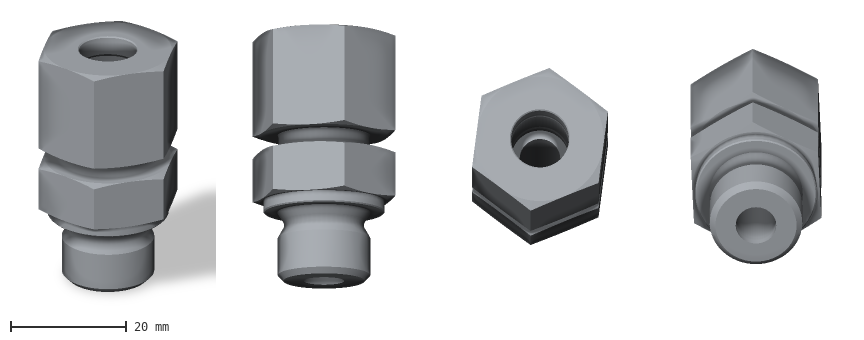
import cadquery as cq
import math


HEX_FLATS = 22.0
HEX_CHAMFER_ANGLE = 15
TUBE_D = 10.0
THREAD_D = 16.0

STUD_CHAMFER = 1.0
STUD_THREAD_TOP = 7.52
UNDERCUT_D = 13.75
UNDERCUT_R = 1.2
UNDERCUT_LOWER_ANGLE = 30
UNDERCUT_UPPER_ANGLE = 33

COLLAR_D = 21.0
COLLAR_EDGE_CHAMFER = 0.2
COLLAR_BOTTOM = 12.0
BODY_HEX_BOTTOM = 13.98
BODY_HEX_TOP = 22.5

NECK_D = 15.7
NECK_FILLET = 1.0
NECK_STRAIGHT = 1.45
BODY_TOP = 33.55

FLOW_BORE_D = 7.0
TUBE_STOP_DEPTH = 7.0
CONE_MOUTH_D = 12.3
CONE_HALF_ANGLE = 12

NUT_BOTTOM = 25.5
NUT_TOP = 43.0
NUT_BORE_BOTTOM = 39.7
NUT_BORE_CHAMFER = 0.2

RING_TOP = 39.15
RING_MOUTH_D = 10.75
RING_MOUTH_DEPTH = 1.08
RING_TIP_DEPTH = 3.85


def tan_deg(angle):
    return math.tan(math.radians(angle))


def revolve(profile):
    """Turn a closed (radius, height) outline around the Z axis."""
    return profile.close().revolve(360, (0, 0, 0), (0, 1, 0))


def turned(points):
    """Turned solid from the straight-sided (radius, height) outline."""
    return revolve(cq.Workplane("XZ").polyline(points))


def chamfered_hexagon(bottom, top):
    """Hexagonal prism with its corners turned to a cone at both ends."""
    flat_r = HEX_FLATS / 2
    corner_r = flat_r / math.cos(math.radians(30))
    drop = (corner_r - flat_r) * tan_deg(HEX_CHAMFER_ANGLE)
    prism = (
        cq.Workplane("XY", origin=(0, 0, bottom))
        .polygon(6, 2 * corner_r)
        .extrude(top - bottom)
        .rotate((0, 0, 0), (0, 0, 1), 30)
    )
    envelope = turned([
        (0, bottom),
        (flat_r, bottom),
        (corner_r, bottom + drop),
        (corner_r, top - drop),
        (flat_r, top),
        (0, top),
    ])
    return prism.intersect(envelope)


def make_stud():
    """Stud thread with its end chamfer and the rounded undercut below the collar."""
    thread_r = THREAD_D / 2
    waist_r = UNDERCUT_D / 2
    lower = math.radians(UNDERCUT_LOWER_ANGLE)
    upper = math.radians(UNDERCUT_UPPER_ANGLE)
    lower_arc_r = waist_r + UNDERCUT_R * (1 - math.cos(lower))
    upper_arc_r = waist_r + UNDERCUT_R * (1 - math.cos(upper))
    lower_arc_z = STUD_THREAD_TOP + (thread_r - lower_arc_r) / math.tan(lower)
    waist_z = lower_arc_z + UNDERCUT_R * math.sin(lower)
    upper_arc_z = waist_z + UNDERCUT_R * math.sin(upper)
    cone_top_r = upper_arc_r + (COLLAR_BOTTOM - upper_arc_z) * math.tan(upper)
    profile = (
        cq.Workplane("XZ")
        .moveTo(0, 0)
        .lineTo(thread_r - STUD_CHAMFER, 0)
        .lineTo(thread_r, STUD_CHAMFER)
        .lineTo(thread_r, STUD_THREAD_TOP)
        .lineTo(lower_arc_r, lower_arc_z)
        .threePointArc((waist_r, waist_z), (upper_arc_r, upper_arc_z))
        .lineTo(cone_top_r, COLLAR_BOTTOM)
        .lineTo(0, COLLAR_BOTTOM)
    )
    return revolve(profile)


def make_collar():
    """Round collar under the hexagon, with a small chamfer on its lower edge."""
    return (
        cq.Workplane("XY", origin=(0, 0, COLLAR_BOTTOM))
        .circle(COLLAR_D / 2)
        .extrude(BODY_HEX_BOTTOM - COLLAR_BOTTOM)
        .faces("<Z")
        .edges()
        .chamfer(COLLAR_EDGE_CHAMFER)
    )


def make_neck():
    """Neck groove above the hexagon, filleted at both ends, and the thread for the nut."""
    neck_r = NECK_D / 2
    thread_r = THREAD_D / 2
    fillet_center_r = neck_r + NECK_FILLET
    straight_bottom = BODY_HEX_TOP + NECK_FILLET
    straight_top = straight_bottom + NECK_STRAIGHT
    thread_bottom = straight_top + math.sqrt(NECK_FILLET**2 - (fillet_center_r - thread_r) ** 2)
    profile = (
        cq.Workplane("XZ")
        .moveTo(0, BODY_HEX_TOP)
        .lineTo(fillet_center_r, BODY_HEX_TOP)
        .radiusArc((neck_r, straight_bottom), NECK_FILLET)
        .lineTo(neck_r, straight_top)
        .radiusArc((thread_r, thread_bottom), NECK_FILLET)
        .lineTo(thread_r, BODY_TOP)
        .lineTo(0, BODY_TOP)
    )
    return revolve(profile)


def make_body_bores():
    """Flow bore right through, tube socket and the cone that seats the cutting ring."""
    tube_r = TUBE_D / 2
    mouth_r = CONE_MOUTH_D / 2
    stop_z = BODY_TOP - TUBE_STOP_DEPTH
    cone_bottom = BODY_TOP - (mouth_r - tube_r) / tan_deg(CONE_HALF_ANGLE)
    return turned([
        (0, 0),
        (FLOW_BORE_D / 2, 0),
        (FLOW_BORE_D / 2, stop_z),
        (tube_r, stop_z),
        (tube_r, cone_bottom),
        (mouth_r, BODY_TOP),
        (0, BODY_TOP),
    ])


def make_body():
    hexagon = chamfered_hexagon(BODY_HEX_BOTTOM, BODY_HEX_TOP)
    solid = make_stud().union(make_collar()).union(hexagon).union(make_neck())
    return solid.cut(make_body_bores())


def make_nut():
    """Union nut: thread below, 45 degree seat for the ring, tube bore at the top."""
    tube_r = TUBE_D / 2
    thread_r = THREAD_D / 2
    seat_bottom = NUT_BORE_BOTTOM - (thread_r - tube_r)
    bore = turned([
        (0, NUT_BOTTOM),
        (thread_r, NUT_BOTTOM),
        (thread_r, seat_bottom),
        (tube_r, NUT_BORE_BOTTOM),
        (tube_r, NUT_TOP - NUT_BORE_CHAMFER),
        (tube_r + NUT_BORE_CHAMFER, NUT_TOP),
        (0, NUT_TOP),
    ])
    return chamfered_hexagon(NUT_BOTTOM, NUT_TOP).cut(bore)


def make_ring():
    """Cutting ring: lies on the 45 degree seat of the nut and tapers into the body's cone."""
    tube_r = TUBE_D / 2
    outer_r = CONE_MOUTH_D / 2
    top_r = tube_r + NUT_BORE_BOTTOM - RING_TOP
    seat_bottom = NUT_BORE_BOTTOM - (outer_r - tube_r)
    tip_z = BODY_TOP - RING_TIP_DEPTH
    tip_r = outer_r - RING_TIP_DEPTH * tan_deg(CONE_HALF_ANGLE)
    return turned([
        (tube_r, tip_z),
        (tip_r, tip_z),
        (outer_r, BODY_TOP),
        (outer_r, seat_bottom),
        (top_r, RING_TOP),
        (RING_MOUTH_D / 2, RING_TOP),
        (tube_r, RING_TOP - RING_MOUTH_DEPTH),
    ])


body = make_body()
nut = make_nut()
ring = make_ring()

result = cq.Compound.makeCompound([body.solids().val(), nut.solids().val(), ring.val()])